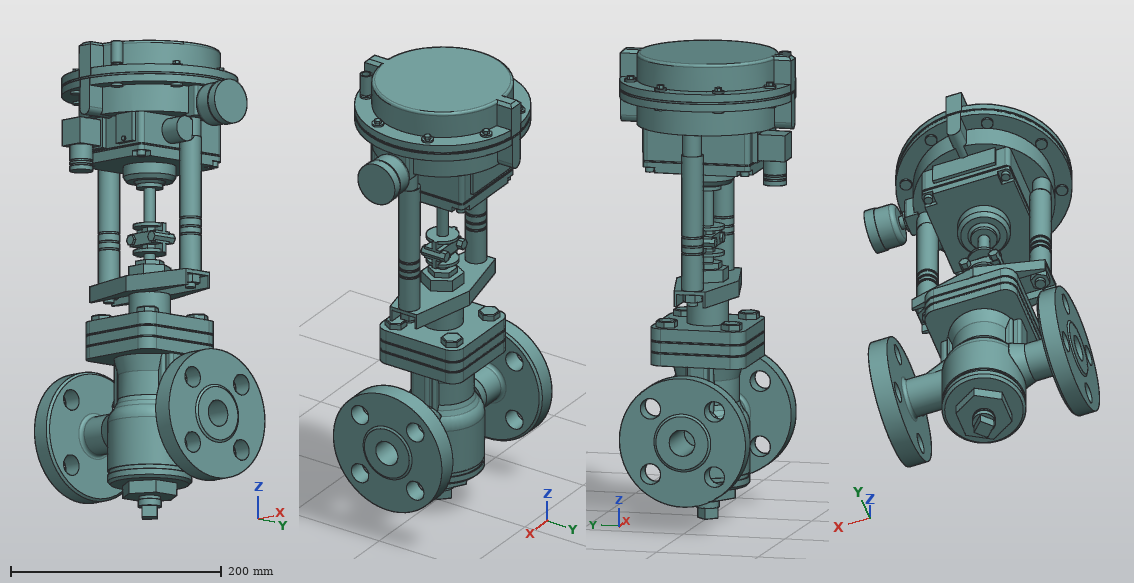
import cadquery as cq
import math


TOP_Z = 450.0

PIPE_Z = 88.5
PIPE_RADIUS = 18.5
PORT_RADIUS = 12.5
BODY_RADIUS = 40.0
NECK_RADIUS = 30.0
FLANGE_RADIUS = 62.0
FLANGE_INNER_X = 75.5
FLANGE_OUTER_X = 94.5
INLET_FLANGE_BEVEL = 2.2
PIPE_FILLET = 3.5
INLET_ROOT_START_X = 33.5
INLET_ROOT_END_X = 47.5
INLET_ROOT_RADIUS = 23.5
FACE_X = 96.0
FACE_BASE_RADIUS = 28.0
FACE_TOP_RADIUS = 25.5
FLANGE_BOLT_OFFSET = 31.5
FLANGE_BOLT_DIAMETER = 20.0
RISER_RADIUS = 18.0
BEND_X = 51.0
BEND_RISE = 16.0
BEND_RUN = 21.5
RIB_X = 41.0
RIB_WIDTH = 20.0
RIB_BOTTOM_Z = 90.0
RIB_FILLET = 3.0
RIB_SHOULDER_X = 33.5
RIB_SHOULDER_WIDTH = 27.0

BODY_BOTTOM_Z = 45.0
COVER_TOP_Z = 41.0
COVER_BOTTOM_Z = 32.5
COVER_GROOVE_RADIUS = 38.5
COVER_BEVEL = 2.5
COVER_HEX_FLATS = 47.0
PLUG_TOP_Z = 20.2
PLUG_NECK_Z = 17.0
PLUG_SQUARE_Z = 11.0
PLUG_RADIUS = 22.0 / 2
PLUG_NECK_RADIUS = 10.5
PLUG_DIAGONAL = 20.2

SHOULDER_START_Z = 91.0
SHOULDER_MIDDLE = (38.5, 98.0)
SHOULDER_END = (34.5, 104.0)
NECK_BLEND = (32.0, 109.0)
NECK_BOTTOM_Z = 114.0
NECK_TOP_Z = 137.2
NECK_FLARE_RADIUS = 34.0

JOINT_WIDTH = 93.0
JOINT_CORNER = 12.5
JOINT_BOTTOM_Z = 153.0
JOINT_SPLIT_Z = 164.5
COVER_PLATE_Z = 175.5
JOINT_TOP_Z = 189.0
JOINT_GAP = 1.5
JOINT_INSET = 1.12
JOINT_BOLT_OFFSET = 32.0
JOINT_BOLT_FLATS = 18.0
JOINT_BOLT_HEIGHT = 6.5
JOINT_BOLT_BEVEL = 1.0
COLUMN_RADIUS = 20.0

YOKE_BOTTOM_Z = 215.0
YOKE_TOP_Z = 230.5
YOKE_HALF_LENGTH = 67.5
YOKE_HALF_WIDTH = 30.5
YOKE_END_HALF_WIDTH = 15.5
YOKE_ROOF = 3.5
YOKE_CHANNEL_WIDTH = 26.0
POST_X = 57.0
POST_RADIUS = 10.5
POST_TOP_Z = 360.5
POST_GROOVES_Z = (266.0, 273.0, 281.5)
POST_GROOVE_HEIGHT = 2.0
POST_GROOVE_DEPTH = 1.0
POST_NUT_FLATS = 16.0
POST_NUT_HEIGHT = 7.5
POST_STUD_RADIUS = 5.0
GLAND_FLATS = 35.5
GLAND_TOP_Z = 242.0
LOCKNUT_FLATS = 24.5
LOCKNUT_TOP_Z = 247.5

STEM_RADIUS = 11.2 / 2
STEM_TOP_Z = 318.0
DISC_RADIUS = 15.8
DISC_THICKNESS = 3.0
DISC_BOTTOMS_Z = (254.5, 280.0)
COUPLING_WIDTH = 36.0
COUPLING_BACK_Y = 4.5
STEM_NUT_FLATS = 12.5
CLAMP_Z = 269.0
CLAMP_HEIGHT = 11.5
CLAMP_HALF_DEPTH = 9.0
CLAMP_BOLT_X = 15.0
CLAMP_BOLT_FLATS = 9.0
CLAMP_HEAD_Y = -11.5
CLAMP_NUT_Y = 15.0

CASE_RADIUS = 67.5
CASE_BOTTOM_Z = 381.0
CASE_TOP_FILLET = 2.5
RIM_RADIUS = 168.0 / 2
RIM_BOTTOM_Z = 407.2
RIM_TOP_Z = 424.0
RIM_SPLIT_Z = 415.5
RIM_GROOVE_HEIGHT = 2.0
RIM_GROOVE_DEPTH = 1.12
RIM_BOLT_COUNT = 8
RIM_BOLT_CIRCLE = 74.2
RIM_BOLT_RADIUS = 11.2 / 2
RIM_WASHER_HEIGHT = 2.0
RIM_HEAD_FLATS = 6.0
RIM_HEAD_HEIGHT = 5.0
RIM_NUT_HEIGHT = 2.2
VENT_INDEX = 6
VENT_GAP = 3.5
VENT_TOP_Z = 448.0
VENT_HOLE_RADIUS = 4.0
VENT_HOLE_DEPTH = 4.5
CASE_RIB_Y = 84.0
UPPER_RIB_WIDTH = 15.8
UPPER_RIB_BEVEL = 3.0
LOWER_RIB_WIDTH = 13.5
LOWER_RIB_BOTTOM_Z = 380.0
LEG_X = 58.5
LEG_RADIUS = 9.0

BOX_LENGTH = 90.0
BOX_WIDTH = 105.5
BOX_CORNER = 4.5
BOX_BOTTOM_Z = 339.5
TRAY_TOP_Z = 350.0
SEAM_HEIGHT = 1.5
SEAM_DEPTH = 1.0
BOX_NOTCH = 12.0
BOX_NOTCH_HEIGHT = 5.0
BOX_SCREW_RADIUS = 4.0
BOX_SCREW_INSET = 6.0
FRONT_PANEL_Y = -57.0
FRONT_PANEL_X = (14.5, 37.5)
FRONT_PANEL_Z = 353.2
KNOB_X = 26.0
KNOB_Z = 356.5
KNOB_RADIUS = 2.2
KNOB_LENGTH = 1.5
BACK_PANEL_Y = 56.0
BACK_PANEL_HALF_LENGTH = 31.5
BACK_PANEL_Z = 356.5
HUB_RADIUS = 25.0
HUB_BEVEL_Z = 329.0
HUB_BOTTOM_Z = 324.5
HUB_BOTTOM_RADIUS = 22.0
NOSE_TOP_RADIUS = 15.5
NOSE_BOTTOM_RADIUS = 12.5
NOSE_CONE_Z = 321.8

CONNECTOR_X = -19.0
CONNECTOR_LENGTH = 25.0
CONNECTOR_BACK_Y = -57.5
CONNECTOR_FRONT_Y = -CASE_RIB_Y
CONNECTOR_BOTTOM_Z = 353.2
CONNECTOR_TOP_Z = 378.5
CONNECTOR_BASE_LENGTH = 29.5
CABLE_GLAND_Y = -71.0
CABLE_GLAND_RADIUS = 22.0 / 2
CABLE_GLAND_BOTTOM_Z = 329.0
CABLE_GLAND_NECK_RADIUS = 9.5
CABLE_GLAND_GROOVES_Z = (333.5, 337.5)
CABLE_GLAND_GROOVE_HEIGHT = 2.0

SIDE_PORT_END_X = 65.5
SIDE_PORT_Y = -13.5
SIDE_PORT_Z = 366.5
SIDE_PORT_RADIUS = 12.0
BRACKET_X = 77.0
BRACKET_WIDTH = 22.5
BRACKET_BOTTOM_Z = 378.0
BRACKET_BACK_X = 63.0
BRACKET_CORNER = 2.5
GAUGE_Z = 388.0
GAUGE_STEM_RADIUS = 6.5
GAUGE_COLLAR_RADIUS = 10.0
GAUGE_COLLAR_X = 78.8
GAUGE_BACK_X = 84.0
GAUGE_RADIUS = 20.2
GAUGE_FILLET = 5.0
GAUGE_BEZEL_X = 104.0
GAUGE_BEZEL_RADIUS = 21.0
GAUGE_FRONT_X = 114.0

SIDES = (-1, 1)


def disc(radius, bottom, top, x=0.0, y=0.0):
    """Vertical cylinder between two heights."""
    return cq.Workplane("XY", origin=(x, y, bottom)).circle(radius).extrude(top - bottom)


def disc_along_x(radius, start, end, z, y=0.0):
    """Cylinder along X between two positions."""
    return cq.Workplane("YZ", origin=(start, y, z)).circle(radius).extrude(end - start)


def ring(radius, depth, bottom, height, x=0.0, y=0.0):
    """Cutter for a shallow groove around a vertical cylinder."""
    outer = disc(radius + depth, bottom, bottom + height, x, y)
    return outer.cut(disc(radius - depth, bottom, bottom + height, x, y))


def block(x_range, y_range, z_range):
    """Box given by its limits along X, Y and Z."""
    size = [high - low for low, high in (x_range, y_range, z_range)]
    corner = (x_range[0], y_range[0], z_range[0])
    return cq.Workplane("XY").box(*size, centered=False).translate(corner)


def hexagon(flats, bottom, top, x=0.0, y=0.0, turn=0.0):
    """Vertical hexagonal prism with two corners along X unless turned."""
    across_corners = 2 * flats / math.sqrt(3)
    prism = cq.Workplane("XY").polygon(6, across_corners).extrude(top - bottom)
    return prism.rotate((0, 0, 0), (0, 0, 1), turn).translate((x, y, bottom))


def square_plate(bottom, top, inset=0.0):
    """Square plate with rounded corners, used in the bolted joint."""
    width = JOINT_WIDTH - 2 * inset
    plate = cq.Workplane("XY", origin=(0, 0, bottom)).rect(width, width).extrude(top - bottom)
    return plate.edges("|Z").fillet(JOINT_CORNER - inset)


def body_core():
    """Turned body, bottom cover and round part of the drain plug."""
    return (
        cq.Workplane("XZ")
        .moveTo(0, PLUG_SQUARE_Z)
        .lineTo(PLUG_RADIUS, PLUG_SQUARE_Z)
        .lineTo(PLUG_RADIUS, PLUG_NECK_Z)
        .lineTo(PLUG_NECK_RADIUS, PLUG_NECK_Z)
        .lineTo(PLUG_NECK_RADIUS, COVER_BOTTOM_Z)
        .lineTo(BODY_RADIUS - COVER_BEVEL, COVER_BOTTOM_Z)
        .lineTo(BODY_RADIUS, COVER_BOTTOM_Z + COVER_BEVEL)
        .lineTo(BODY_RADIUS, COVER_TOP_Z)
        .lineTo(COVER_GROOVE_RADIUS, COVER_TOP_Z)
        .lineTo(COVER_GROOVE_RADIUS, BODY_BOTTOM_Z)
        .lineTo(BODY_RADIUS, BODY_BOTTOM_Z)
        .lineTo(BODY_RADIUS, SHOULDER_START_Z)
        .threePointArc(SHOULDER_MIDDLE, SHOULDER_END)
        .lineTo(*NECK_BLEND)
        .lineTo(NECK_RADIUS, NECK_BOTTOM_Z)
        .lineTo(NECK_RADIUS, NECK_TOP_Z)
        .lineTo(NECK_FLARE_RADIUS, JOINT_BOTTOM_Z)
        .lineTo(0, JOINT_BOTTOM_Z)
        .close()
        .revolve(360, (0, 0, 0), (0, 1, 0))
    )


def pipe_flange(bevel=0.0):
    """Pipe, bolted flange and raised face on the +X side; the bevel is on the flange's back rim."""
    fillet_middle = PIPE_FILLET * (1 - math.sqrt(0.5))
    profile = (
        cq.Workplane("XY")
        .moveTo(0, 0)
        .lineTo(0, PIPE_RADIUS)
        .lineTo(FLANGE_INNER_X - PIPE_FILLET, PIPE_RADIUS)
        .threePointArc(
            (FLANGE_INNER_X - fillet_middle, PIPE_RADIUS + fillet_middle),
            (FLANGE_INNER_X, PIPE_RADIUS + PIPE_FILLET),
        )
        .lineTo(FLANGE_INNER_X, FLANGE_RADIUS - bevel)
    )
    if bevel > 0:
        profile = profile.lineTo(FLANGE_INNER_X + bevel, FLANGE_RADIUS)
    turned = (
        profile.lineTo(FLANGE_OUTER_X, FLANGE_RADIUS)
        .lineTo(FLANGE_OUTER_X, FACE_BASE_RADIUS)
        .lineTo(FACE_X, FACE_TOP_RADIUS)
        .lineTo(FACE_X, 0)
        .close()
        .revolve(360, (0, 0, 0), (1, 0, 0))
        .translate((0, 0, PIPE_Z))
    )
    holes = (
        cq.Workplane("YZ", origin=(FLANGE_INNER_X, 0, PIPE_Z))
        .rect(2 * FLANGE_BOLT_OFFSET, 2 * FLANGE_BOLT_OFFSET, forConstruction=True)
        .vertices()
        .circle(FLANGE_BOLT_DIAMETER / 2)
        .extrude(FLANGE_OUTER_X - FLANGE_INNER_X)
    )
    return turned.cut(holes)


def inlet_root():
    """Flare where the inlet pipe enters the body."""
    flare = cq.Solid.makeCone(
        PIPE_RADIUS,
        INLET_ROOT_RADIUS,
        INLET_ROOT_END_X - INLET_ROOT_START_X,
        cq.Vector(-INLET_ROOT_END_X, 0, PIPE_Z),
        cq.Vector(1, 0, 0),
    )
    return cq.Workplane(flare)


def rising_passage():
    """Sloping stub that leads from the outlet pipe up to the neck."""
    length = math.hypot(BEND_RUN, BEND_RISE)
    start = cq.Vector(BEND_X, 0, PIPE_Z)
    direction = cq.Vector(-BEND_RUN, 0, BEND_RISE)
    return cq.Workplane(cq.Solid.makeCylinder(RISER_RADIUS, length, start, direction))


def make_valve_body():
    body = body_core()

    for reach, width in ((RIB_X, RIB_WIDTH), (RIB_SHOULDER_X, RIB_SHOULDER_WIDTH)):
        rib = block((-reach, reach), (-width / 2, width / 2), (RIB_BOTTOM_Z, JOINT_BOTTOM_Z))
        body = body.union(rib.edges("|Z").fillet(RIB_FILLET))

    inlet = pipe_flange(INLET_FLANGE_BEVEL).mirror("YZ")
    outlet = pipe_flange().union(rising_passage())
    body = body.union(inlet).union(inlet_root()).union(outlet)
    for side in SIDES:
        body = body.cut(disc_along_x(PORT_RADIUS, side * BODY_RADIUS, side * FACE_X, PIPE_Z))

    body = body.union(square_plate(JOINT_BOTTOM_Z, JOINT_SPLIT_Z))
    body = body.union(hexagon(COVER_HEX_FLATS, PLUG_TOP_Z, COVER_BOTTOM_Z, turn=30))
    square = cq.Workplane("XY").polygon(4, PLUG_DIAGONAL).extrude(PLUG_SQUARE_Z)
    return body.union(square)


def make_bonnet():
    bonnet = square_plate(JOINT_SPLIT_Z, JOINT_SPLIT_Z + JOINT_GAP, JOINT_INSET)
    bonnet = bonnet.union(square_plate(JOINT_SPLIT_Z + JOINT_GAP, COVER_PLATE_Z))
    bonnet = bonnet.union(square_plate(COVER_PLATE_Z, COVER_PLATE_Z + JOINT_GAP, JOINT_INSET))
    bonnet = bonnet.union(square_plate(COVER_PLATE_Z + JOINT_GAP, JOINT_TOP_Z))
    bonnet = bonnet.union(disc(COLUMN_RADIUS, JOINT_TOP_Z, YOKE_BOTTOM_Z))
    head = hexagon(JOINT_BOLT_FLATS, JOINT_TOP_Z, JOINT_TOP_Z + JOINT_BOLT_HEIGHT)
    head = head.faces(">Z").edges().chamfer(JOINT_BOLT_BEVEL)
    for x_side in SIDES:
        for y_side in SIDES:
            place = (x_side * JOINT_BOLT_OFFSET, y_side * JOINT_BOLT_OFFSET, 0)
            bonnet = bonnet.union(head.translate(place))
    return bonnet


def yoke_post(x):
    """Grooved post with the stud and nut that hold it to the plate."""
    roof_bottom = YOKE_TOP_Z - YOKE_ROOF
    post = disc(POST_RADIUS, YOKE_TOP_Z, POST_TOP_Z, x)
    for z in POST_GROOVES_Z:
        bottom = z - POST_GROOVE_HEIGHT / 2
        post = post.cut(ring(POST_RADIUS, POST_GROOVE_DEPTH, bottom, POST_GROOVE_HEIGHT, x))
    post = post.union(disc(POST_STUD_RADIUS, YOKE_BOTTOM_Z, YOKE_TOP_Z, x))
    return post.union(hexagon(POST_NUT_FLATS, roof_bottom - POST_NUT_HEIGHT, roof_bottom, x, turn=30))


def make_yoke():
    plate = (
        cq.Workplane("XY", origin=(0, 0, YOKE_BOTTOM_Z))
        .moveTo(-YOKE_HALF_LENGTH, -YOKE_END_HALF_WIDTH)
        .lineTo(0, -YOKE_HALF_WIDTH)
        .lineTo(YOKE_HALF_LENGTH, -YOKE_END_HALF_WIDTH)
        .lineTo(YOKE_HALF_LENGTH, YOKE_END_HALF_WIDTH)
        .lineTo(0, YOKE_HALF_WIDTH)
        .lineTo(-YOKE_HALF_LENGTH, YOKE_END_HALF_WIDTH)
        .close()
        .extrude(YOKE_TOP_Z - YOKE_BOTTOM_Z)
    )
    channel = block(
        (-YOKE_HALF_LENGTH, YOKE_HALF_LENGTH),
        (-YOKE_CHANNEL_WIDTH / 2, YOKE_CHANNEL_WIDTH / 2),
        (YOKE_BOTTOM_Z, YOKE_TOP_Z - YOKE_ROOF),
    )
    yoke = plate.cut(channel)
    for side in SIDES:
        yoke = yoke.union(yoke_post(side * POST_X))
    yoke = yoke.union(hexagon(GLAND_FLATS, YOKE_TOP_Z, GLAND_TOP_Z))
    yoke = yoke.union(hexagon(LOCKNUT_FLATS, GLAND_TOP_Z, LOCKNUT_TOP_Z))
    return yoke.cut(side_port())


def clamp_bolt(x):
    """Hexagonal clamp bolt along Y with its nut, one hexagonal bar through the clamp."""
    bolt = cq.Workplane("XZ", origin=(x, CLAMP_HEAD_Y, CLAMP_Z))
    return bolt.polygon(6, 2 * CLAMP_BOLT_FLATS / math.sqrt(3)).extrude(CLAMP_HEAD_Y - CLAMP_NUT_Y)


def make_stem():
    lower_disc_z, upper_disc_z = DISC_BOTTOMS_Z
    coupling_x = (-COUPLING_WIDTH / 2, COUPLING_WIDTH / 2)
    coupling_z = (lower_disc_z, upper_disc_z + DISC_THICKNESS)
    clamp_z = (CLAMP_Z - CLAMP_HEIGHT / 2, CLAMP_Z + CLAMP_HEIGHT / 2)

    stem = disc(STEM_RADIUS, LOCKNUT_TOP_Z, STEM_TOP_Z)
    stem = stem.union(block(coupling_x, (0, COUPLING_BACK_Y), coupling_z))
    stem = stem.union(block(coupling_x, (-CLAMP_HALF_DEPTH, CLAMP_HALF_DEPTH), clamp_z))
    stem = stem.union(hexagon(STEM_NUT_FLATS, lower_disc_z + DISC_THICKNESS, upper_disc_z))
    for z in DISC_BOTTOMS_Z:
        stem = stem.union(disc(DISC_RADIUS, z, z + DISC_THICKNESS))
    for side in SIDES:
        stem = stem.union(clamp_bolt(side * CLAMP_BOLT_X))
    return stem


def diaphragm_case():
    """Round case with its split rim and the ribs at the front and back."""
    case = disc(CASE_RADIUS, CASE_BOTTOM_Z, TOP_Z).faces(">Z").edges().fillet(CASE_TOP_FILLET)
    case = case.union(disc(RIM_RADIUS, RIM_BOTTOM_Z, RIM_TOP_Z))
    upper_half = UPPER_RIB_WIDTH / 2
    upper = block((-upper_half, upper_half), (-CASE_RIB_Y, CASE_RIB_Y), (RIM_SPLIT_Z, TOP_Z))
    upper = upper.faces(">Z").edges().chamfer(UPPER_RIB_BEVEL)
    lower_half = LOWER_RIB_WIDTH / 2
    round_z = LOWER_RIB_BOTTOM_Z + lower_half
    lower = block((-lower_half, lower_half), (-CASE_RIB_Y, CASE_RIB_Y), (round_z, RIM_SPLIT_Z))
    rounded_foot = (
        cq.Workplane("XZ", origin=(0, CASE_RIB_Y, round_z)).circle(lower_half).extrude(2 * CASE_RIB_Y)
    )
    case = case.union(upper).union(lower.union(rounded_foot))
    groove_bottom = RIM_SPLIT_Z - RIM_GROOVE_HEIGHT / 2
    return case.cut(ring(RIM_RADIUS, RIM_GROOVE_DEPTH, groove_bottom, RIM_GROOVE_HEIGHT))


def rim_bolts():
    """Bolts around the rim, one of them carrying a tall hollow vent."""
    bolts = cq.Workplane("XY")
    for index in range(RIM_BOLT_COUNT):
        angle = math.radians(360 / RIM_BOLT_COUNT * (index + 0.5))
        x = RIM_BOLT_CIRCLE * math.cos(angle)
        y = RIM_BOLT_CIRCLE * math.sin(angle)
        bolts = bolts.union(disc(RIM_BOLT_RADIUS, RIM_BOTTOM_Z - RIM_NUT_HEIGHT, RIM_BOTTOM_Z, x, y))
        bolts = bolts.union(disc(RIM_BOLT_RADIUS, RIM_TOP_Z, RIM_TOP_Z + RIM_WASHER_HEIGHT, x, y))
        bolts = bolts.union(hexagon(RIM_HEAD_FLATS, RIM_TOP_Z, RIM_TOP_Z + RIM_HEAD_HEIGHT, x, y))
        if index == VENT_INDEX:
            vent = disc(RIM_BOLT_RADIUS, RIM_TOP_Z + VENT_GAP, VENT_TOP_Z, x, y)
            hole = disc(VENT_HOLE_RADIUS, VENT_TOP_Z - VENT_HOLE_DEPTH, VENT_TOP_Z, x, y)
            bolts = bolts.union(vent.cut(hole))
    return bolts


def positioner_box():
    """Box with its tray, corner screws, side panels, round hub and conical nose."""
    half_length = BOX_LENGTH / 2
    half_width = BOX_WIDTH / 2
    box = block((-half_length, half_length), (-half_width, half_width), (BOX_BOTTOM_Z, CASE_BOTTOM_Z))
    box = box.edges("|Z").fillet(BOX_CORNER)
    seam = (
        cq.Workplane("XY", origin=(0, 0, TRAY_TOP_Z - SEAM_HEIGHT / 2))
        .rect(BOX_LENGTH, BOX_WIDTH)
        .rect(BOX_LENGTH - 2 * SEAM_DEPTH, BOX_WIDTH - 2 * SEAM_DEPTH)
        .extrude(SEAM_HEIGHT)
    )
    box = box.cut(seam)
    notch_top = BOX_BOTTOM_Z + BOX_NOTCH_HEIGHT
    for x_side in SIDES:
        for y_side in SIDES:
            notch_x = x_side * (half_length - BOX_NOTCH / 2)
            notch_y = y_side * (half_width - BOX_NOTCH / 2)
            notch = cq.Workplane("XY", origin=(notch_x, notch_y, BOX_BOTTOM_Z)).rect(BOX_NOTCH, BOX_NOTCH)
            screw_x = x_side * (half_length - BOX_SCREW_INSET)
            screw_y = y_side * (half_width - BOX_SCREW_INSET)
            screw = disc(BOX_SCREW_RADIUS, BOX_BOTTOM_Z, notch_top, screw_x, screw_y)
            box = box.cut(notch.extrude(BOX_NOTCH_HEIGHT)).union(screw)

    front = block(FRONT_PANEL_X, (FRONT_PANEL_Y, -half_width), (FRONT_PANEL_Z, CASE_BOTTOM_Z))
    knob = cq.Workplane("XZ", origin=(KNOB_X, FRONT_PANEL_Y, KNOB_Z)).circle(KNOB_RADIUS).extrude(KNOB_LENGTH)
    back = block(
        (-BACK_PANEL_HALF_LENGTH, BACK_PANEL_HALF_LENGTH),
        (half_width, BACK_PANEL_Y),
        (BACK_PANEL_Z, CASE_BOTTOM_Z),
    )
    hub = (
        cq.Workplane("XZ")
        .moveTo(0, STEM_TOP_Z)
        .lineTo(NOSE_BOTTOM_RADIUS, STEM_TOP_Z)
        .lineTo(NOSE_BOTTOM_RADIUS, NOSE_CONE_Z)
        .lineTo(NOSE_TOP_RADIUS, HUB_BOTTOM_Z)
        .lineTo(HUB_BOTTOM_RADIUS, HUB_BOTTOM_Z)
        .lineTo(HUB_RADIUS, HUB_BEVEL_Z)
        .lineTo(HUB_RADIUS, BOX_BOTTOM_Z)
        .lineTo(0, BOX_BOTTOM_Z)
        .close()
        .revolve(360, (0, 0, 0), (0, 1, 0))
    )
    return box.union(front).union(knob).union(back).union(hub)


def cable_connector():
    """Connector block on its base, with a grooved cable gland below."""
    half = CONNECTOR_LENGTH / 2
    base_half = CONNECTOR_BASE_LENGTH / 2
    connector = block(
        (CONNECTOR_X - half, CONNECTOR_X + half),
        (CONNECTOR_FRONT_Y, CONNECTOR_BACK_Y),
        (CONNECTOR_BOTTOM_Z, CONNECTOR_TOP_Z),
    )
    base = block(
        (CONNECTOR_X - base_half, CONNECTOR_X + base_half),
        (CONNECTOR_BACK_Y, -BOX_WIDTH / 2),
        (TRAY_TOP_Z + SEAM_HEIGHT, CASE_BOTTOM_Z),
    )
    gland = disc(CABLE_GLAND_RADIUS, CABLE_GLAND_BOTTOM_Z, CONNECTOR_BOTTOM_Z, CONNECTOR_X, CABLE_GLAND_Y)
    depth = CABLE_GLAND_RADIUS - CABLE_GLAND_NECK_RADIUS
    for z in CABLE_GLAND_GROOVES_Z:
        groove = ring(
            CABLE_GLAND_RADIUS, depth, z, CABLE_GLAND_GROOVE_HEIGHT, CONNECTOR_X, CABLE_GLAND_Y
        )
        gland = gland.cut(groove)
    return connector.union(base).union(gland)


def side_port():
    """Round port that leaves the positioner box along +X."""
    return disc_along_x(SIDE_PORT_RADIUS, BOX_LENGTH / 2, SIDE_PORT_END_X, SIDE_PORT_Z, SIDE_PORT_Y)


def pressure_gauge():
    """Bracket on the case and the gauge screwed into it."""
    half = BRACKET_WIDTH / 2
    gauge = block((BRACKET_BACK_X, BRACKET_X), (-half, half), (BRACKET_BOTTOM_Z, RIM_BOTTOM_Z))
    gauge = gauge.faces(">X").edges("|Z").fillet(BRACKET_CORNER)
    gauge = gauge.union(disc_along_x(GAUGE_COLLAR_RADIUS, BRACKET_X, GAUGE_COLLAR_X, GAUGE_Z))
    gauge = gauge.union(disc_along_x(GAUGE_STEM_RADIUS, BRACKET_X, GAUGE_BACK_X, GAUGE_Z))
    dial = disc_along_x(GAUGE_RADIUS, GAUGE_BACK_X, GAUGE_BEZEL_X, GAUGE_Z)
    dial = dial.faces("<X").edges().fillet(GAUGE_FILLET)
    bezel = disc_along_x(GAUGE_BEZEL_RADIUS, GAUGE_BEZEL_X, GAUGE_FRONT_X, GAUGE_Z)
    return gauge.union(dial).union(bezel)


def make_actuator():
    actuator = diaphragm_case().union(rim_bolts()).union(positioner_box())
    actuator = actuator.union(cable_connector()).union(pressure_gauge())
    for side in SIDES:
        actuator = actuator.union(disc(LEG_RADIUS, POST_TOP_Z, CASE_BOTTOM_Z, side * LEG_X))
    return actuator.union(side_port())


valve_body = make_valve_body()
bonnet = make_bonnet()
yoke = make_yoke()
stem = make_stem()
actuator = make_actuator()

result = cq.Compound.makeCompound(
    [
        *valve_body.solids().vals(),
        *bonnet.solids().vals(),
        *yoke.solids().vals(),
        *stem.solids().vals(),
        *actuator.solids().vals(),
    ]
)